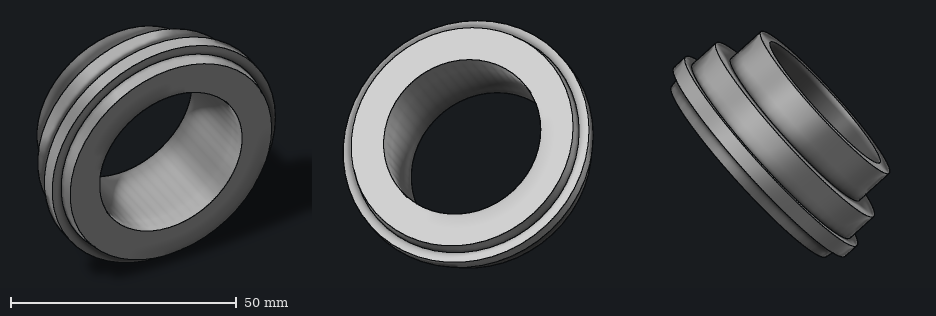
import cadquery as cq

bore_diameter = 36.05
spigot_diameter = 42.4
body_diameter = 52.0
flange_diameter = 56.5
nose_end_diameter = 50.95

spigot_length = 9.05
body_length = 7.2
flange_length = 3.55
nose_length = 3.2

body_start = spigot_length
flange_start = body_start + body_length
nose_start = flange_start + flange_length
total_length = nose_start + nose_length


def cylinder(start, length, diameter):
    """Solid cylinder along +X, beginning at the given station."""
    return cq.Workplane("YZ", origin=(start, 0, 0)).circle(diameter / 2).extrude(length)


def tapered_nose():
    """Conical end that narrows away from the flange."""
    return (
        cq.Workplane("YZ", origin=(nose_start, 0, 0))
        .circle(body_diameter / 2)
        .workplane(offset=nose_length)
        .circle(nose_end_diameter / 2)
        .loft(ruled=True)
    )


spigot = cylinder(0, spigot_length, spigot_diameter)
body = cylinder(body_start, body_length, body_diameter)
flange = cylinder(flange_start, flange_length, flange_diameter)
bore = cylinder(0, total_length, bore_diameter)

result = spigot.union(body).union(flange).union(tapered_nose()).cut(bore)